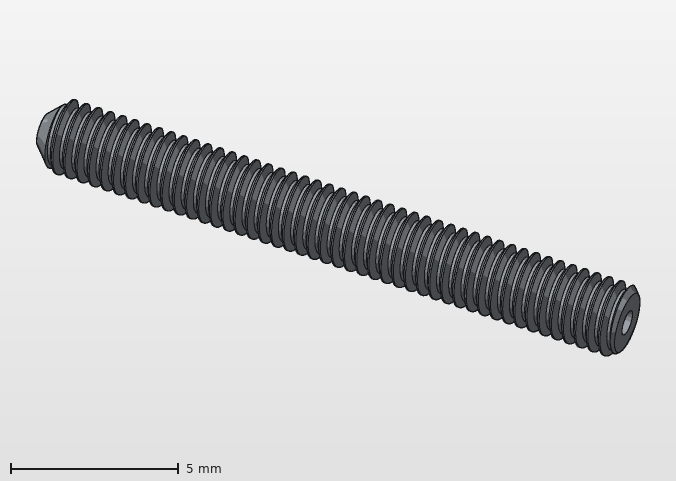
import cadquery as cq
import math

length = 19.05
outer_radius = 1.15
turns = 48
hole_radius = 0.38
tip_radius = 0.51

pitch = length / turns
flank_angle = math.radians(30)
crest_flat = pitch / 8
root_flat = pitch / 4
flank_run = (pitch - crest_flat - root_flat) / 2
thread_depth = flank_run / math.tan(flank_angle)
root_radius = outer_radius - thread_depth

overhang_turns = 2
bar_turns = turns + 2 * overhang_turns
rough_radius = hole_radius / 2

trim_margin = 0.2
trim_radius = outer_radius + trim_margin
mouth_depth = tip_radius - hole_radius


def helix_edge(radius, height):
    """One right-hand turn about Z, starting on the +X side at the given height."""
    return cq.Wire.makeHelix(pitch, pitch, radius).translate(cq.Vector(0, 0, height)).Edges()[0]


def make_threaded_bar():
    """Overlong threaded bar along Z, built turn by turn from ruled helical faces."""
    turn_section = [
        (root_radius, 0),
        (root_radius, root_flat),
        (outer_radius, root_flat + flank_run),
        (outer_radius, root_flat + flank_run + crest_flat),
        (root_radius, pitch),
        (rough_radius, pitch),
        (rough_radius, 0),
    ]
    outer_sides = list(zip(turn_section[:4], turn_section[1:5]))
    outer_sides.append((turn_section[5], turn_section[6]))

    faces = []
    for turn in range(bar_turns):
        base = turn * pitch
        for (radius_a, height_a), (radius_b, height_b) in outer_sides:
            edge_a = helix_edge(radius_a, base + height_a)
            edge_b = helix_edge(radius_b, base + height_b)
            faces.append(cq.Face.makeRuledSurface(edge_a, edge_b))

    for height in (0, bar_turns * pitch):
        ramp_edges = (helix_edge(rough_radius, height), helix_edge(root_radius, height))
        faces.append(cq.Face.makeRuledSurface(*ramp_edges))
        corners = [cq.Vector(radius, 0, height + rise) for radius, rise in turn_section]
        faces.append(cq.Face.makeFromWires(cq.Wire.makePolygon(corners, close=True)))

    bar = cq.Workplane(cq.Solid.makeSolid(cq.Shell.makeShell(faces)))
    bar = bar.rotate((0, 0, 0), (1, 1, 1), 120)
    return bar.translate((-root_flat / 2 - overhang_turns * pitch, 0, 0))


def make_envelope():
    """Pierced body of revolution that gives the cone point, hole and far-end chamfer."""
    half_section = [
        (0, tip_radius),
        (trim_radius - tip_radius, trim_radius),
        (length - (trim_radius - root_radius), trim_radius),
        (length, root_radius),
        (length, hole_radius),
        (mouth_depth, hole_radius),
    ]
    return cq.Workplane("XY").polyline(half_section).close().revolve(360, (0, 0, 0), (1, 0, 0))


result = make_threaded_bar().intersect(make_envelope()).solids()